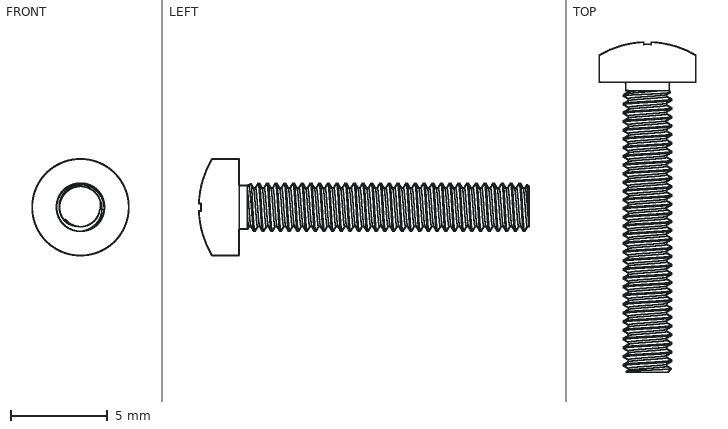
import cadquery as cq
import math


overall_length = 17.08
head_diameter = 5.0
head_height = 2.08
rim_height = 1.4
edge_break = 0.05

shank_length = overall_length - head_height
neck_diameter = 2.27
neck_length = 0.43
neck_fillet = 0.05

thread_diameter = 2.5
thread_turns = 32.4
thread_length = shank_length - neck_length
pitch = thread_length / thread_turns
first_crest = 0.15
run_in_length = 0.27
tip_diameter = 2.15
tip_chamfer = 0.24

recess_reach = 1.06
recess_width = 0.38
recess_depth = 1.02

head_radius = head_diameter / 2
neck_radius = neck_diameter / 2
thread_radius = thread_diameter / 2
tip_radius = tip_diameter / 2

crest_flat = pitch / 8
root_flat = pitch / 4
flank_run = (pitch - crest_flat - root_flat) / 2
thread_depth = flank_run / math.tan(math.radians(30))
root_radius = thread_radius - thread_depth


def make_head():
    """Flat-seated cylinder with a spherical crown and broken rim edges."""
    corner_radius = recess_width / math.sqrt(2)
    rise = head_height - rim_height
    run_squared = head_radius**2 - corner_radius**2
    centre_height = (head_height + rim_height) / 2 - run_squared / (2 * rise)
    sphere_radius = math.hypot(head_radius, rim_height - centre_height)
    apex_height = centre_height + sphere_radius
    half_radius = head_radius / 2
    half_height = centre_height + math.sqrt(sphere_radius**2 - half_radius**2)
    head = (
        cq.Workplane("XZ")
        .lineTo(head_radius, 0)
        .lineTo(head_radius, rim_height)
        .threePointArc((half_radius, half_height), (0, apex_height))
        .close()
        .revolve(360, (0, 0), (0, 1))
    )
    return head.edges("%CIRCLE").fillet(edge_break)


def make_neck():
    """Plain neck under the head, flared into the seat by a small fillet."""
    arc_offset = neck_fillet * (1 - math.sqrt(0.5))
    return (
        cq.Workplane("XZ")
        .lineTo(neck_radius + neck_fillet, 0)
        .threePointArc(
            (neck_radius + arc_offset, -arc_offset),
            (neck_radius, -neck_fillet),
        )
        .lineTo(neck_radius, -neck_length)
        .lineTo(0, -neck_length)
        .close()
        .revolve(360, (0, 0), (0, 1))
    )


def helix_turn(radius, start_z):
    """One right-hand turn of a helix starting on the +X side."""
    helix = cq.Wire.makeHelix(pitch, pitch, radius)
    return helix.translate(cq.Vector(0, 0, start_z)).Edges()[0]


def make_thread():
    """Thread skin of ruled faces, one set per turn, closed into a solid.

    It runs past both ends of the rod, where it is closed by a helicoid from
    the axis to the outermost root helix and by a flat step on the +X side.
    """
    outline = [
        (root_radius, 0),
        (thread_radius, flank_run),
        (thread_radius, flank_run + crest_flat),
        (root_radius, pitch - root_flat),
        (root_radius, pitch),
    ]
    turns = math.ceil(thread_turns) + 2
    crest_centre = flank_run + crest_flat / 2
    bottom = -shank_length + first_crest - crest_centre - pitch
    top = bottom + turns * pitch

    faces = []
    for turn in range(turns):
        base = bottom + turn * pitch
        for (radius, z), (next_radius, next_z) in zip(outline, outline[1:]):
            lower = helix_turn(radius, base + z)
            upper = helix_turn(next_radius, base + next_z)
            faces.append(cq.Face.makeRuledSurface(lower, upper))

    for end_z in (bottom, top):
        axis = cq.Edge.makeLine(cq.Vector(0, 0, end_z), cq.Vector(0, 0, end_z + pitch))
        faces.append(cq.Face.makeRuledSurface(axis, helix_turn(root_radius, end_z)))
        step = [(0, 0)] + outline + [(0, pitch)]
        step_points = [cq.Vector(radius, 0, end_z + z) for radius, z in step]
        faces.append(cq.Face.makeFromWires(cq.Wire.makePolygon(step_points, close=True)))

    return cq.Workplane(obj=cq.Solid.makeSolid(cq.Shell.makeShell(faces)))


def make_threaded_rod():
    """Thread cut to length, coned below the neck and at the tip."""
    clearance = pitch
    outer_radius = thread_radius + clearance
    run_in_slope = run_in_length / (thread_radius - neck_radius)
    tip_slope = tip_chamfer / (thread_radius - tip_radius)
    envelope = (
        cq.Workplane("XZ")
        .moveTo(0, -neck_length)
        .lineTo(neck_radius, -neck_length)
        .lineTo(outer_radius, -neck_length - (outer_radius - neck_radius) * run_in_slope)
        .lineTo(outer_radius, -shank_length + (outer_radius - tip_radius) * tip_slope)
        .lineTo(tip_radius, -shank_length)
        .lineTo(0, -shank_length)
        .close()
        .revolve(360, (0, 0), (0, 1))
    )
    return make_thread().intersect(envelope)


def make_recess():
    """Cross recess in the crown, with wings along X and across it."""
    slot = (
        cq.Workplane("XY")
        .workplane(offset=head_height - recess_depth)
        .rect(2 * recess_reach, recess_width)
        .extrude(head_height)
    )
    return slot.union(slot.rotate((0, 0, 0), (0, 0, 1), 90))


screw = make_head().cut(make_recess()).union(make_neck()).union(make_threaded_rod())
result = screw.rotate((0, 0, 0), (1, 0, 0), -90)